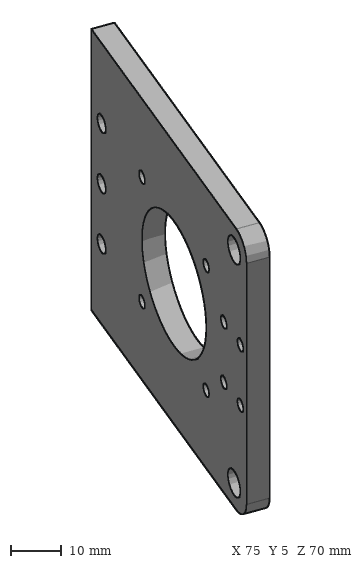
import cadquery as cq

LENGTH = 75.0
HEIGHT = 70.0
THICKNESS = 5.0
CORNER_RADIUS = 5.0
MID_HEIGHT = HEIGHT / 2

BORE_X = 40.0
BORE_DIAMETER = 31.0
BORE_SCREW_SPACING = 31.0
SCREW_DIAMETER = 2.8

EDGE_HOLE_INSET = 5.0
EDGE_HOLE_DIAMETER = 4.0
EDGE_HOLE_SPACING = 15.0
EDGE_HOLE_COUNT = 3

SIDE_SCREW_X = 68.0
SIDE_SCREW_SPACING_X = 8.0
SIDE_SCREW_SPACING_Z = 15.0

CORNER_HOLE_INSET = 6.0
CORNER_HOLE_DIAMETER = 6.0


def make_plate():
    """Rectangular plate with the two +X corners rounded."""
    plate = cq.Workplane("XY").box(LENGTH, THICKNESS, HEIGHT, centered=False)
    return plate.edges("|Y and >X").fillet(CORNER_RADIUS)


def grid(center_x, spacing_x, spacing_z, count_x=2, count_z=2):
    """(x, z) points of a rectangular grid centered on the plate's mid height."""
    start_x = center_x - spacing_x * (count_x - 1) / 2
    start_z = MID_HEIGHT - spacing_z * (count_z - 1) / 2
    return [
        (start_x + i * spacing_x, start_z + j * spacing_z)
        for i in range(count_x)
        for j in range(count_z)
    ]


def drill(plate, points, diameter):
    """Cut round holes through the thickness at the given (x, z) points."""
    drills = (
        cq.Workplane("XZ")
        .pushPoints(points)
        .circle(diameter / 2)
        .extrude(-THICKNESS)
    )
    return plate.cut(drills)


bore_center = [(BORE_X, MID_HEIGHT)]
bore_screws = grid(BORE_X, BORE_SCREW_SPACING, BORE_SCREW_SPACING)
side_screws = grid(SIDE_SCREW_X, SIDE_SCREW_SPACING_X, SIDE_SCREW_SPACING_Z)
edge_holes = grid(EDGE_HOLE_INSET, 0, EDGE_HOLE_SPACING, count_x=1, count_z=EDGE_HOLE_COUNT)
corner_holes = grid(
    LENGTH - CORNER_HOLE_INSET, 0, HEIGHT - 2 * CORNER_HOLE_INSET, count_x=1
)

result = make_plate()
result = drill(result, bore_center, BORE_DIAMETER)
result = drill(result, bore_screws + side_screws, SCREW_DIAMETER)
result = drill(result, edge_holes, EDGE_HOLE_DIAMETER)
result = drill(result, corner_holes, CORNER_HOLE_DIAMETER)